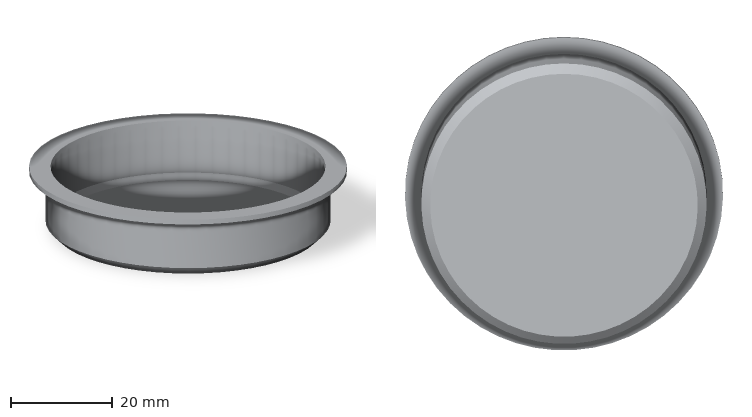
import cadquery as cq
import math

flange_diameter = 62.4
body_diameter = 56.0
wall = 1.0
height = 13.0
outer_chamfer = 1.75

cavity_diameter = body_diameter - 2 * wall
inner_chamfer = outer_chamfer - wall * (2 - math.sqrt(2))


def chamfered_cup(diameter, base_z, chamfer):
    """Upright cylinder from base_z to the rim, chamfered around its lower edge."""
    cylinder = cq.Workplane("XY").workplane(offset=base_z).circle(diameter / 2).extrude(height - base_z)
    return cylinder.faces("<Z").chamfer(chamfer)


body = chamfered_cup(body_diameter, 0, outer_chamfer)
flange = cq.Workplane("XY").workplane(offset=height - wall).circle(flange_diameter / 2).extrude(wall)

cavity = chamfered_cup(cavity_diameter, wall, inner_chamfer)

result = body.union(flange).cut(cavity)